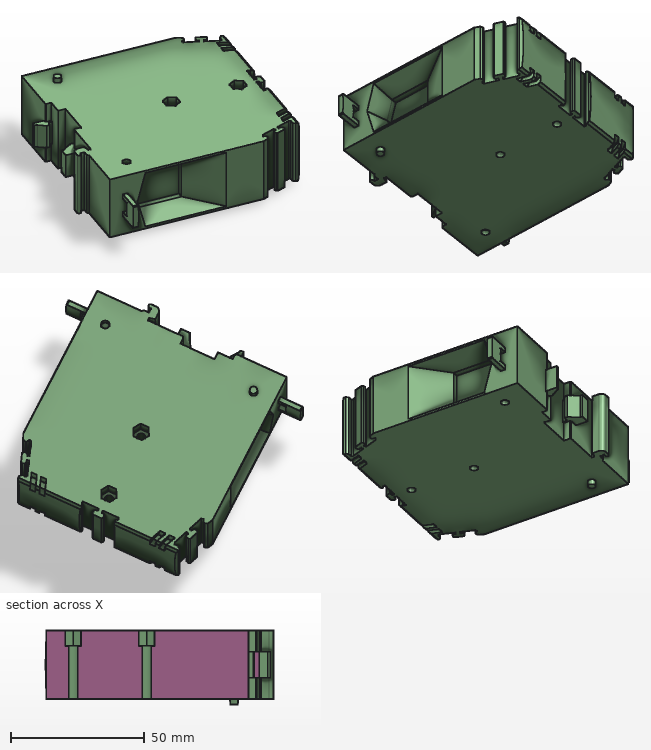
import cadquery as cq
import math

half_length = 49.0
half_width = 39.6
half_thick = 12.9

cap_peak_y = 81.7
cap_shoulder_y = 81.3
bevel = 1.0
cap_outer_x = 33.5
cap_inner_x = 6.9
recess_y = 78.4
recess_half = 7.5

slant_angle = 20.0
slant_top = (30.8, 78.0)
shoulder_y = 63.7
slant_drop = 12.9

rail_head_width = 4.5
rail_head_thick = 2.1
rail_stem_width = 1.7
rail_stem_height = 1.0
rail_chamfer = 0.5
rail_root = 0.5
side_rail_drop = 6.5

notch_centers = (28.8, 24.9)
notch_width = 2.3
notch_bottom_y = 76.3
notch_depth = 2.0
notch_step_y = 79.7
notch_overrun = 1.0

nut_ys = (71.3, 43.7)
screw_hole_d = 3.2
nut_across_corners = 6.7
nut_depth = 5.9
pin_x = 31.0
pin_y = 10.9
pin_d = 3.1
pin_height = 2.1
pin_draft = 3.0
socket_d = 3.2
socket_depth = 2.45

tab_bottom_y = 5.4
tab_edge_y = 7.35
tab_peak_y = 7.6
tab_half_thick = 4.9
tab_slot_half = 2.9
tab_slot_end = 42.9
tab_chamfer = 0.4

pocket_taper_depth = 8.8
pocket_straight_depth = 2.4

foot_half_thick = 4.9
foot_root = 1.0
step_bevel = 0.4
step_y = 2.4
channel_y = 5.4
hook_bottom_y = -4.0
hook_left_x = 15.0
hook_right_x = 19.7
hook_radius = 2.0
hook_tip_radius = 0.8


def slab(profile, half):
    """Extrude an XY profile equally to both sides of Z = 0."""
    return profile.extrude(half, both=True)


def mirrored(points):
    """Mirror a list of XY points about X = 0, reversing the order."""
    return [(-x, y) for x, y in reversed(points)]


def make_housing():
    slant_shift = slant_drop * math.tan(math.radians(slant_angle))
    slant_bottom = (slant_top[0] + slant_shift, slant_top[1] - slant_drop)
    right_top = [
        (half_width, shoulder_y),
        (38.6, 65.9),
        (37.5, 66.2),
        (36.9, 66.1),
        (36.4, 64.9),
        slant_bottom,
        slant_top,
        (31.0, 78.8),
        (32.6, 78.8),
        (cap_outer_x, 79.7),
        (cap_outer_x, 80.7),
        (32.4, cap_peak_y),
        (7.4, cap_peak_y),
        (cap_inner_x, 81.0),
        (cap_inner_x, 79.6),
        (recess_half, 79.3),
        (recess_half, recess_y),
    ]
    underside = [
        (-18.1 - step_bevel, 0),
        (-18.1, step_bevel),
        (-18.1, step_y),
        (-12.0, step_y),
        (-12.0, channel_y),
        (2.3, channel_y),
        (2.3, step_y + step_bevel),
        (2.3 + step_bevel, step_y),
        (17.3, step_y),
        (17.3, 1.3),
        (hook_left_x, 0.7),
        (hook_left_x, hook_bottom_y + hook_radius),
    ]
    outline = cq.Workplane("XY").polyline([(-half_width, 0)] + underside)
    outline = outline.radiusArc((hook_left_x + hook_radius, hook_bottom_y), -hook_radius)
    outline = outline.lineTo(hook_right_x - hook_tip_radius, hook_bottom_y)
    outline = outline.threePointArc(
        (hook_right_x, hook_bottom_y + hook_tip_radius),
        (hook_right_x - hook_tip_radius, hook_bottom_y + 2 * hook_tip_radius),
    )
    hook_notch = [(18.3, -2.45), (18.3, -0.7), (20.4, -0.7), (21.1, 0)]
    for point in hook_notch + [(half_width, 0)] + right_top + mirrored(right_top):
        outline = outline.lineTo(*point)
    return slab(outline.close(), half_thick)


def cap_envelope():
    """Domed and bevelled section that limits the cap tops, running along X."""
    bevel_z = half_thick - bevel
    return (
        cq.Workplane("YZ")
        .moveTo(-half_length, -half_thick)
        .lineTo(cap_shoulder_y - bevel, -half_thick)
        .lineTo(cap_shoulder_y, -bevel_z)
        .threePointArc((cap_peak_y, 0), (cap_shoulder_y, bevel_z))
        .lineTo(cap_shoulder_y - bevel, half_thick)
        .lineTo(-half_length, half_thick)
        .close()
        .extrude(half_length, both=True)
    )


def make_rail(base, tilt):
    """T-shaped rail standing on the point base, turned by tilt degrees about Z."""
    stem = rail_stem_width / 2
    head = rail_head_width / 2
    head_top = rail_stem_height + rail_head_thick
    half = [
        (stem, -rail_root),
        (stem, rail_stem_height),
        (head - rail_chamfer, rail_stem_height),
        (head, rail_stem_height + rail_chamfer),
        (head, head_top - rail_chamfer),
        (head - rail_chamfer, head_top),
    ]
    profile = cq.Workplane("XY").polyline(half + mirrored(half)).close()
    return slab(profile, half_thick).rotate((0, 0, 0), (0, 0, 1), tilt).translate((*base, 0))


def make_side_rail():
    """Rail on the right-hand slanted shoulder, square to it."""
    shift = side_rail_drop * math.tan(math.radians(slant_angle))
    base = (slant_top[0] + shift, slant_top[1] - side_rail_drop)
    return make_rail(base, slant_angle - 90)


def make_notches():
    """Slanted grip notches of the right-hand cap, cut into both broad faces."""
    above = cap_peak_y + notch_overrun
    lean = (above - notch_bottom_y) * math.tan(math.radians(slant_angle))
    half = notch_width / 2
    notches = cq.Workplane("XY")
    for center in notch_centers:
        bottom = [(center - half, notch_bottom_y), (center + half, notch_bottom_y)]
        top = [(center + half - lean, above), (center - half - lean, above)]
        notches = notches.add(slab(cq.Workplane("XY").polyline(bottom + top).close(), half_thick))
    floor_z = half_thick - notch_depth
    run = above - notch_step_y
    core_upper = [
        (notch_bottom_y, half_thick),
        (notch_bottom_y + bevel, floor_z),
        (notch_step_y, floor_z),
        (above, floor_z - run),
    ]
    core_lower = [(y, -z) for y, z in reversed(core_upper)]
    core = cq.Workplane("YZ").polyline(core_upper + core_lower).close().extrude(half_length)
    return notches.combine().cut(core)


def make_pocket():
    """Five-sided pocket in the right-hand side: tapered walls first, then straight ones."""
    mouth = [(48.2, 12.0), (14.7, 12.0), (11.5, 0), (14.7, -12.0), (48.2, -12.0)]
    floor = [(33.7, 8.9), (16.3, 8.9), (13.8, 0), (16.3, -8.9), (33.7, -8.9)]
    taper = (
        cq.Workplane("YZ", origin=(half_width, 0, 0))
        .polyline(mouth)
        .close()
        .workplane(offset=-pocket_taper_depth)
        .polyline(floor)
        .close()
        .loft(ruled=True)
    )
    taper_end = cq.Workplane("YZ", origin=(half_width - pocket_taper_depth, 0, 0))
    return taper.union(taper_end.polyline(floor).close().extrude(-pocket_straight_depth))


def make_tab():
    """Slotted tab on the right-hand side, with a slightly domed upper face."""
    length = half_length - half_width
    tab = (
        cq.Workplane("YZ", origin=(half_width, 0, 0))
        .moveTo(tab_bottom_y, -tab_half_thick)
        .lineTo(tab_edge_y, -tab_half_thick)
        .threePointArc((tab_peak_y, 0), (tab_edge_y, tab_half_thick))
        .lineTo(tab_bottom_y, tab_half_thick)
        .close()
        .extrude(length)
        .faces(">X")
        .edges("|Y")
        .chamfer(tab_chamfer)
    )
    slot_length = tab_slot_end - half_width
    slot_corner = (half_width, tab_bottom_y, -tab_slot_half)
    slot = cq.Workplane("XY", origin=slot_corner).box(
        slot_length, tab_peak_y - tab_bottom_y, 2 * tab_slot_half, centered=False
    )
    return tab.cut(slot)


def make_feet():
    """Two snap feet, narrower than the housing, hanging from the underside."""
    left_foot = [
        (-19.3, step_y + foot_root),
        (-19.3, -4.7),
        (-18.0, -4.7),
        (-17.6, -3.7),
        (-15.6, -0.7),
        (-15.6, 0.6),
        (-17.2, 1.0),
        (-17.2, step_y + foot_root),
    ]
    middle_foot = [
        (1.5, channel_y + foot_root),
        (1.5, 3.7),
        (-0.5, 3.3),
        (-0.5, 2.2),
        (2.2, -1.9),
        (2.2, -2.7),
        (6.0, -2.7),
        (6.0, channel_y + foot_root),
    ]
    feet = cq.Workplane("XY")
    for points in (left_foot, middle_foot):
        feet = feet.add(slab(cq.Workplane("XY").polyline(points).close(), foot_half_thick))
    return feet.combine()


def make_pin():
    """Locating pin with slight draft, on the upper face, left-hand side."""
    pin = cq.Workplane("XY").circle(pin_d / 2).extrude(pin_height, taper=pin_draft)
    return pin.translate((-pin_x, pin_y, half_thick))


def make_socket():
    """Round socket for a neighbour's pin, in the upper face, right-hand side."""
    socket = cq.Workplane("XY").circle(socket_d / 2).extrude(-socket_depth)
    return socket.translate((pin_x, pin_y, half_thick))


def make_screw_holes():
    """Through holes with hexagonal nut pockets in the upper face."""
    points = [(0, y) for y in nut_ys]
    holes = slab(cq.Workplane("XY").pushPoints(points).circle(screw_hole_d / 2), half_thick)
    nuts = cq.Workplane("XY", origin=(0, 0, half_thick)).pushPoints(points).polygon(6, nut_across_corners)
    return holes.union(nuts.extrude(-nut_depth))


def half_turn(shape):
    """Turn a shape over about the Y axis, to the other side and the other face."""
    return shape.rotate((0, 0, 0), (0, 1, 0), 180)


result = make_housing().intersect(cap_envelope())
result = result.union(make_rail((0, recess_y), 0)).union(make_feet())

for addition in (make_side_rail(), make_tab()):
    result = result.union(addition).union(addition.mirror("YZ"))
for removal in (make_notches(), make_pocket()):
    result = result.cut(removal).cut(removal.mirror("YZ"))

result = result.union(make_pin()).union(half_turn(make_pin()))
result = result.cut(make_socket()).cut(half_turn(make_socket())).cut(make_screw_holes())